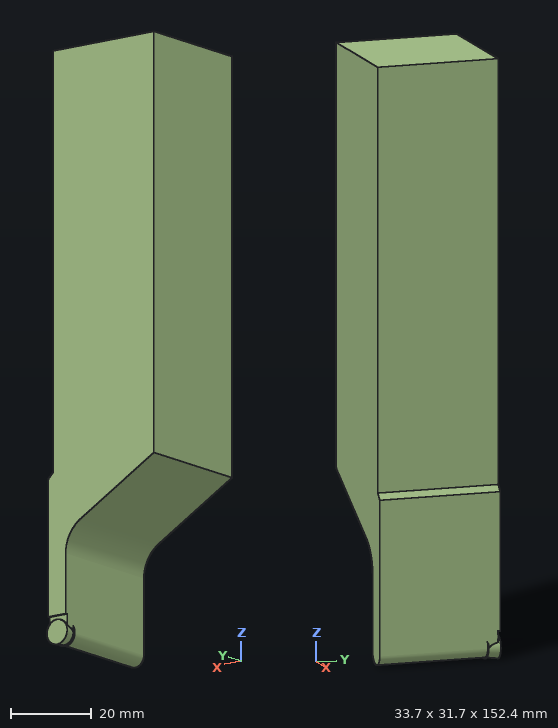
import cadquery as cq
import math

total_height = 152.4
shank_side = 31.7
shoulder_height = 44.3

rim_radius = 3.2
waist_radius = 2.7
base_radius = 3.0
waist_depth = 3.0
insert_depth = 3.4
insert_x = 30.5
insert_z = rim_radius

blade_radius = 2.7
blade_left = insert_x - blade_radius
blade_right = insert_x + blade_radius
blade_fillet_radius = 9.5
slope_angle = math.radians(30)

relief_height = 7.5
relief_depth = 0.6


def make_holder_blank():
    """Shank and blade, extruded along Y from one XZ outline."""
    overhang = blade_right - shank_side
    slope_foot_z = shoulder_height - blade_left * math.tan(slope_angle)

    turn_angle = math.pi / 2 - slope_angle
    tangent_length = blade_fillet_radius * math.tan(turn_angle / 2)
    slope_end = (
        blade_left - tangent_length * math.cos(slope_angle),
        slope_foot_z + tangent_length * math.sin(slope_angle),
    )
    fillet_end = (blade_left, slope_foot_z - tangent_length)
    fillet_center_x = blade_left - blade_fillet_radius
    fillet_middle = (
        fillet_center_x + blade_fillet_radius * math.cos(turn_angle / 2),
        fillet_end[1] + blade_fillet_radius * math.sin(turn_angle / 2),
    )

    outline = (
        cq.Workplane("XZ")
        .moveTo(0, total_height)
        .lineTo(0, shoulder_height)
        .lineTo(*slope_end)
        .threePointArc(fillet_middle, fillet_end)
        .lineTo(blade_left, insert_z)
        .threePointArc((insert_x, insert_z - blade_radius), (blade_right, insert_z))
        .lineTo(blade_right, shoulder_height - overhang)
        .lineTo(shank_side, shoulder_height)
        .lineTo(shank_side, total_height)
        .close()
    )
    return outline.extrude(-shank_side)


def make_insert():
    """Round insert tapering from its rim to a waist, then flaring to its base."""
    profile = (
        cq.Workplane("XY")
        .moveTo(0, 0)
        .lineTo(rim_radius, 0)
        .lineTo(waist_radius, -waist_depth)
        .lineTo(base_radius, -insert_depth)
        .lineTo(0, -insert_depth)
        .close()
    )
    return profile.revolve(360, (0, 0), (0, 1)).translate((insert_x, shank_side, insert_z))


def make_relief():
    """Block removed from the back of the blade's lower end."""
    return (
        cq.Workplane("XY")
        .box(2 * blade_radius, relief_depth, relief_height, centered=(True, False, False))
        .translate((insert_x, shank_side - relief_depth, 0))
    )


insert = make_insert()
holder = make_holder_blank().cut(make_relief()).cut(insert)

result = cq.Compound.makeCompound([holder.solids().val(), insert.val()])